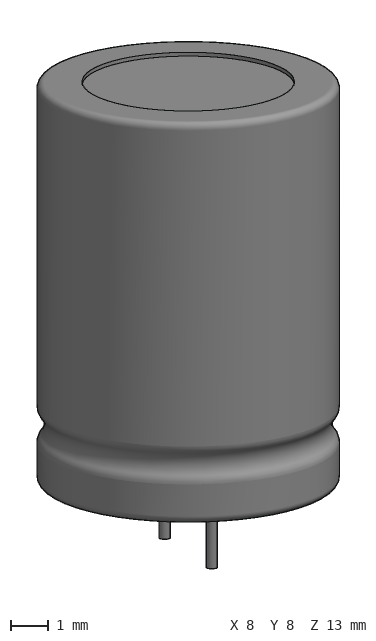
import cadquery as cq
import math

can_diameter = 8.0
total_height = 13.0
long_lead_length = 2.0
can_height = total_height - long_lead_length
can_radius = can_diameter / 2
rim_fillet = 0.2

groove_height = 1.6
groove_depth = 0.2
groove_radius = 0.5
groove_blend_radius = 0.3

recess_diameter = 5.6
recess_depth = 0.1

lead_diameter = 0.3
lead_spacing = 3.5
lead_length_difference = 0.13
short_lead_length = long_lead_length - lead_length_difference


def make_can():
    """Revolve the can's half section, including rounded rims and the crimp groove."""
    centre_distance = groove_radius + groove_blend_radius
    tangent_angle = math.acos(1 - groove_depth / centre_distance)
    half_width = centre_distance * math.sin(tangent_angle)

    floor_radius = can_radius - groove_depth
    joint_radius = can_radius - groove_blend_radius * (1 - math.cos(tangent_angle))
    joint_offset = groove_radius * math.sin(tangent_angle)
    blend_mid_radius = can_radius - groove_blend_radius * (1 - math.cos(tangent_angle / 2))
    blend_mid_offset = half_width - groove_blend_radius * math.sin(tangent_angle / 2)

    profile = (
        cq.Workplane("XZ")
        .lineTo(can_radius, 0)
        .lineTo(can_radius, groove_height - half_width)
        .threePointArc(
            (blend_mid_radius, groove_height - blend_mid_offset),
            (joint_radius, groove_height - joint_offset),
        )
        .threePointArc(
            (floor_radius, groove_height),
            (joint_radius, groove_height + joint_offset),
        )
        .threePointArc(
            (blend_mid_radius, groove_height + blend_mid_offset),
            (can_radius, groove_height + half_width),
        )
        .lineTo(can_radius, can_height)
        .lineTo(0, can_height)
        .close()
    )
    can = profile.revolve(360, (0, 0), (0, 1))
    return can.faces("<Z or >Z").edges().fillet(rim_fillet)


def make_lead(x, length):
    """A round wire hanging from the underside of the can."""
    return cq.Workplane("XY").center(x, 0).circle(lead_diameter / 2).extrude(-length)


can = make_can()
can = can.faces(">Z").workplane().circle(recess_diameter / 2).cutBlind(-recess_depth)

result = can
for x, length in ((-lead_spacing / 2, long_lead_length), (lead_spacing / 2, short_lead_length)):
    result = result.union(make_lead(x, length))